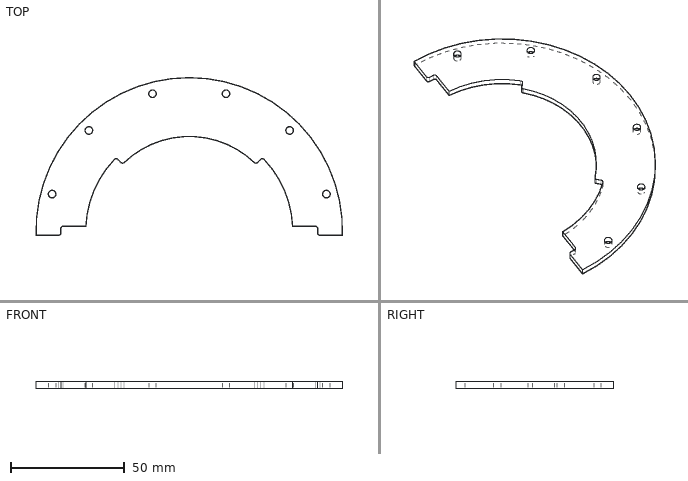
import cadquery as cq
import math

thickness = 3.2
outer_radius = 67.5
crown_radius = 41.5
leg_radius = 45.5
step_angle = 45.0
foot_level = -2.0
shoulder_level = 2.0
foot_inner_x = 56.5
corner_radius = 1.0

hole_diameter = 3.24
hole_circle_radius = 62.5
hole_count = 6
hole_span = 180.0
hole_spacing = hole_span / hole_count


def polar(radius, angle):
    """Point at the given radius and angle in degrees, measured from +X."""
    return (radius * math.cos(math.radians(angle)), radius * math.sin(math.radians(angle)))


def at_level(radius, y):
    """Point on the right half of a circle at height y."""
    return (math.sqrt(radius**2 - y**2), y)


def mirrored(point):
    """Point reflected across the YZ plane."""
    return (-point[0], point[1])


def make_arch():
    """Half-ring plate with stepped bore and two feet."""
    foot_outer = at_level(outer_radius, foot_level)
    foot_inner = (foot_inner_x, foot_level)
    ledge_root = (foot_inner_x, shoulder_level)
    ledge_end = at_level(leg_radius, shoulder_level)
    leg_middle = polar(leg_radius, step_angle / 2)
    step_root = polar(leg_radius, step_angle)
    step_tip = polar(crown_radius, step_angle)

    arch = (
        cq.Workplane("XY")
        .moveTo(*foot_outer)
        .threePointArc((0, outer_radius), mirrored(foot_outer))
        .lineTo(*mirrored(foot_inner))
        .lineTo(*mirrored(ledge_root))
        .lineTo(*mirrored(ledge_end))
        .threePointArc(mirrored(leg_middle), mirrored(step_root))
        .lineTo(*mirrored(step_tip))
        .threePointArc((0, crown_radius), step_tip)
        .lineTo(*step_root)
        .threePointArc(leg_middle, ledge_end)
        .lineTo(*ledge_root)
        .lineTo(*foot_inner)
        .close()
        .extrude(thickness)
    )

    rounded_corners = [foot_inner, ledge_root, step_root, step_tip]
    for corner in rounded_corners + [mirrored(point) for point in rounded_corners]:
        nearest = cq.selectors.NearestToPointSelector((*corner, thickness / 2))
        arch = arch.edges("|Z").edges(nearest).fillet(corner_radius)
    return arch


def drill_holes(plate):
    """Through holes evenly spaced along the arch, symmetric about its crown."""
    centres = [polar(hole_circle_radius, (index + 0.5) * hole_spacing) for index in range(hole_count)]
    drills = cq.Workplane("XY").pushPoints(centres).circle(hole_diameter / 2).extrude(thickness)
    return plate.cut(drills)


result = drill_holes(make_arch())